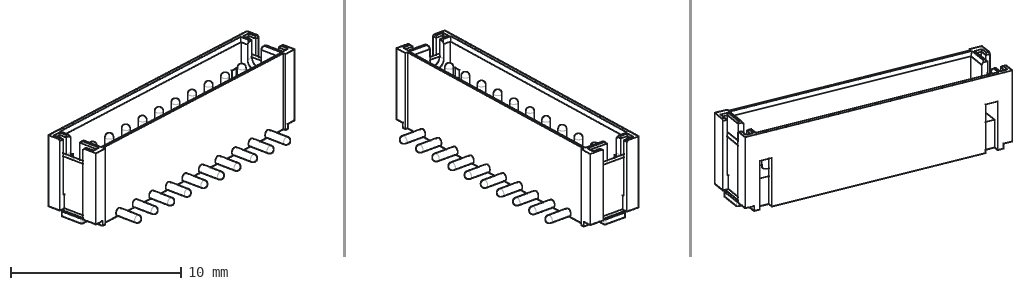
import cadquery as cq
import math

length = 18.0
height = 5.0
depth = 3.69
back_recess = 0.16
post_length = 0.85
half_length = length / 2

wall = 0.38
cavity_back = 3.22
end_wall = 0.99
cavity_floor = 1.84
floor_step_x = 1.85
floor_step = 0.1
cavity_lead_in = 0.16
cavity_lead_depth = 0.23

pocket_outer = 0.29
pocket_inner = 0.6
panel_top = 3.8
lead_in = 0.099
mouth_left = 0.9
mouth_right = 2.68
notch_height = 0.32

foot_left = 0.99
foot_right = 2.6
foot_corner_radius = 0.09
foot_ledge_top = 0.32
foot_slope_depth = 0.13
foot_slope_height = 0.09
foot_round = 0.25
slit_top = 1.3

slot_left = 0.88
slot_right = 1.93
slot_radius = (slot_right - slot_left) / 2

window_width = 0.81
window_top = 3.2

pin_count = 10
pin_pitch = 1.5
pin_diameter = 0.5
pin_radius = pin_diameter / 2
pin_x = 1.51
pin_tip = 4.2
tail_end = 5.2


def block(x_range, y_range, z_range):
    """Box between two limits on each axis, given in any order."""
    limits = [sorted(pair) for pair in (x_range, y_range, z_range)]
    sizes = [high - low for low, high in limits]
    corner = tuple(low for low, high in limits)
    return cq.Workplane("XY").box(*sizes, centered=False).translate(corner)


def opening(x_range, y_range, floor, flare, flare_depth):
    """Cutter open at the top of the housing, widening towards its rim."""
    x0, x1 = sorted(x_range)
    y0, y1 = sorted(y_range)
    rim = (
        cq.Workplane("XY", origin=((x0 + x1) / 2, (y0 + y1) / 2, height))
        .rect(x1 - x0 + 2 * flare, y1 - y0 + 2 * flare)
        .workplane(offset=-flare_depth)
        .rect(x1 - x0, y1 - y0)
        .loft(ruled=True)
    )
    return block((x0, x1), (y0, y1), (floor, height)).union(rim)


def housing():
    body = block((0, depth), (-half_length, half_length), (0, height))
    recess_half = half_length - post_length
    return body.cut(
        block((depth - back_recess, depth), (-recess_half, recess_half), (0, height))
    )


def cavity():
    half = half_length - end_wall
    upper = opening((wall, cavity_back), (-half, half), cavity_floor, cavity_lead_in, cavity_lead_depth)
    lower = block(
        (floor_step_x, cavity_back), (-half, half), (cavity_floor - floor_step, cavity_floor)
    )
    return upper.union(lower)


def end_cuts(side):
    """Everything removed from one end of the housing."""
    outer = side * half_length
    face = side * (half_length - pocket_outer)
    inner = side * (half_length - pocket_inner)
    cavity_end = side * (half_length - end_wall)

    pocket = opening((wall, cavity_back), (face, inner), panel_top, lead_in, lead_in)
    mouth = opening((mouth_left, mouth_right), (outer, face), 0, lead_in, lead_in)
    notch = block((0, depth), (outer, inner), (0, notch_height))
    left_slit = block((mouth_left, foot_left), (outer, inner), (0, slit_top))
    right_slit = block((foot_right, mouth_right), (outer, inner), (0, slit_top))

    slot = opening((slot_left, slot_right), (inner, cavity_end), panel_top, lead_in, lead_in)
    slot_bottom = (
        cq.Workplane("XZ", origin=((slot_left + slot_right) / 2, max(inner, cavity_end), panel_top))
        .circle(slot_radius)
        .extrude(end_wall - pocket_inner)
    )
    cuts = pocket
    for cutter in (mouth, notch, left_slit, right_slit, slot, slot_bottom):
        cuts = cuts.union(cutter)
    return cuts


def foot(side):
    """Latch foot standing out from one panel, profiled in YZ."""
    def y(inset):
        return side * (half_length - inset)

    slope_outer = pocket_outer - foot_slope_depth
    arc_bend = foot_round * math.sqrt(0.5)
    profile = (
        cq.Workplane("YZ", origin=(foot_left, 0, 0))
        .moveTo(y(0), 0)
        .lineTo(y(0), foot_ledge_top)
        .lineTo(y(slope_outer), foot_ledge_top)
        .lineTo(y(pocket_outer), foot_ledge_top + foot_slope_height)
        .lineTo(y(pocket_inner), foot_ledge_top + foot_slope_height)
        .lineTo(y(pocket_inner), foot_round)
        .threePointArc(
            (y(pocket_inner - foot_round + arc_bend), foot_round - arc_bend),
            (y(pocket_inner - foot_round), 0),
        )
        .close()
        .extrude(foot_right - foot_left)
    )
    outer_face = ">Y" if side > 0 else "<Y"
    return profile.faces(outer_face).edges("|Z").fillet(foot_corner_radius)


def window(side):
    start = side * (half_length - end_wall)
    return block((0, wall), (start, start - side * window_width), (0, window_top))


def pin(y):
    """Right-angle contact: an upright and a tail along +X, both with round tips."""
    upright_length = pin_tip - 2 * pin_radius
    tail_length = tail_end - pin_radius - pin_x
    bend = (pin_x, y, pin_radius)
    upright = cq.Workplane("XY", origin=bend).circle(pin_radius).extrude(upright_length)
    tail = cq.Workplane("YZ", origin=bend).circle(pin_radius).extrude(tail_length)
    upright_tip = cq.Workplane("XY", origin=(pin_x, y, pin_radius + upright_length)).sphere(pin_radius)
    tail_tip = cq.Workplane("XY", origin=(pin_x + tail_length, y, pin_radius)).sphere(pin_radius)
    return upright.union(tail).union(upright_tip).union(tail_tip)


first_pin_y = -(pin_count - 1) / 2 * pin_pitch
result = housing().cut(cavity())
for side in (-1, 1):
    result = result.cut(end_cuts(side)).cut(window(side)).union(foot(side))
for index in range(pin_count):
    result = result.union(pin(first_pin_y + index * pin_pitch))